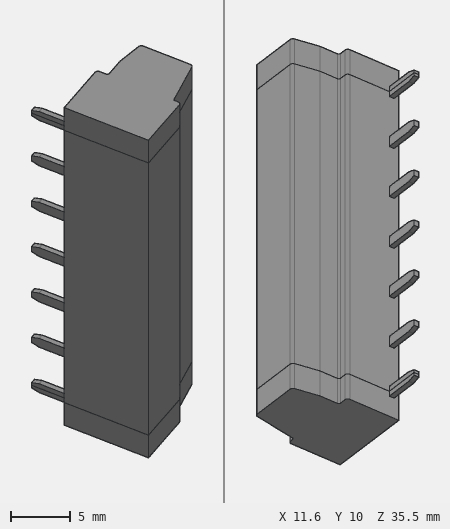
import cadquery as cq

total_length = 35.55
pin_count = 7
centre_length = 30.47
pin_pitch = centre_length / (pin_count - 1)
end_length = (total_length - centre_length) / 2

base_width = 8.15
base_depth = 5.4
total_depth = 10.0
nose_left = 1.1
nose_right = 7.43
crest_left = 1.55
crest_right = 6.6
nose_bend = 7.4
edge_round = 0.3
root_round = 0.18

pin_length = 3.45
pin_height = 1.0
pin_tip_height = 0.57
pin_taper_length = 0.75
pin_thickness = 0.5
pin_offset = 0.5


def round_corners(body, corners, radius):
    """Round the upright edges that pass through the given profile corners."""
    for x, y in corners:
        corner = cq.selectors.NearestToPointSelector((x, y, body.val().Center().z))
        body = body.edges("|Z").edges(corner).fillet(radius)
    return body


def make_housing(bottom, length):
    """Stepped housing profile extruded upward from the given height."""
    outline = [
        (0, 0),
        (base_width, 0),
        (base_width, base_depth),
        (nose_right, base_depth),
        (crest_right, total_depth),
        (crest_left, total_depth),
        (nose_left, nose_bend),
        (nose_left, base_depth),
        (0, base_depth),
    ]
    step_corners = [(0, base_depth), (base_width, base_depth)]
    nose_roots = [(nose_left, base_depth), (nose_right, base_depth)]
    crest_corners = [(crest_left, total_depth), (crest_right, total_depth)]
    body = cq.Workplane("XY").polyline(outline).close().extrude(length)
    body = round_corners(body, step_corners + crest_corners, edge_round)
    body = round_corners(body, nose_roots, root_round)
    return body.translate((0, 0, bottom))


def make_pin(height):
    """Flat pin centred on the given height, tapered toward its tip."""
    shoulder = pin_taper_length - pin_length
    half_height = pin_height / 2
    half_tip = pin_tip_height / 2
    outline = [
        (0, -half_height),
        (0, half_height),
        (shoulder, half_height),
        (-pin_length, half_tip),
        (-pin_length, -half_tip),
        (shoulder, -half_height),
    ]
    pin = cq.Workplane("XZ").polyline(outline).close().extrude(-pin_thickness)
    return pin.translate((0, pin_offset, height))


def make_block(bottom, length):
    """Block of the strip with its pins; a pin on a block boundary is shared half and half."""
    block = make_housing(bottom, length)
    slab_width = 2 * (base_width + pin_length)
    slab = cq.Workplane("XY").box(slab_width, 2 * total_depth, length, centered=(True, True, False))
    slab = slab.translate((0, 0, bottom))
    for index in range(pin_count):
        height = end_length + index * pin_pitch
        if bottom - pin_height / 2 < height < bottom + length + pin_height / 2:
            block = block.union(make_pin(height).intersect(slab))
    return block


lower_end = make_block(0, end_length)
centre = make_block(end_length, centre_length)
upper_end = make_block(end_length + centre_length, end_length)

result = cq.Compound.makeCompound([lower_end.val(), centre.val(), upper_end.val()])